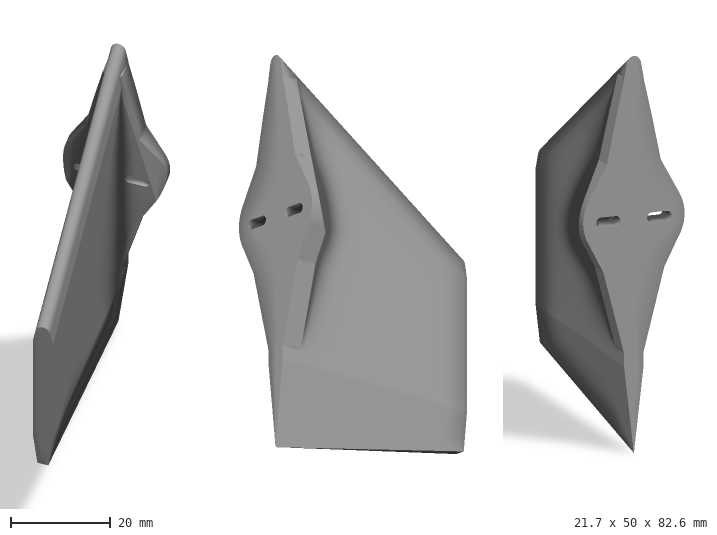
import cadquery as cq
import math


root_height = 82.6
span = 50.0
tip_top = 50.65
tip_bottom = 9.9
thickness = 4.2
half_thickness = thickness / 2
taper_start = 18.2
nose_radius = 1.6
nose_depth = 3.9

flange_width = 21.7
flange_thickness = 4.9
flange_bottom = (half_thickness, 21.0)
lower_knee = (6.5, 38.2)
lobe_bottom = (9.5, 44.05)
lobe_middle = (flange_width / 2, 48.75)
lobe_top = (9.75, 53.2)
upper_knee = (5.8, 60.5)
upper_bend = (3.8, 70.2)
flange_top = (2.1, 77.9)

bevel_top = (half_thickness, 73.55)

slot_length = 5.2
slot_width = 2.1
slot_offset = 5.45
slot_height = 48.7


def mirrored(point):
    return (-point[0], point[1])


def make_side_shape():
    """Swept-back fin outline at full thickness."""
    corners = [(0, 0), (0, root_height), (-span, tip_top), (-span, tip_bottom)]
    return (
        cq.Workplane("YZ").polyline(corners).close()
        .extrude(half_thickness, both=True)
    )


def make_trailing_taper():
    """Constant-thickness slab with a wedge running down to a sharp lower edge."""
    return (
        cq.Workplane("XZ")
        .moveTo(0, 0)
        .lineTo(half_thickness, taper_start)
        .lineTo(half_thickness, root_height)
        .lineTo(-half_thickness, root_height)
        .lineTo(-half_thickness, taper_start)
        .close()
        .extrude(span)
    )


def make_nose():
    """Rounded, tapered section swept parallel to the sloping leading edge."""
    drop = nose_depth - nose_radius
    reach = math.hypot(half_thickness, drop)
    tangent_angle = math.atan2(-drop, half_thickness) + math.acos(nose_radius / reach)
    tangent_x = nose_radius * math.cos(tangent_angle)
    tangent_y = nose_radius * (math.sin(tangent_angle) - 1)

    edge_drop = root_height - tip_top
    edge_length = math.hypot(span, edge_drop)
    section_plane = cq.Plane(
        origin=(0, 0, root_height), xDir=(1, 0, 0), normal=(0, -span, -edge_drop)
    )
    return (
        cq.Workplane(section_plane)
        .workplane(offset=-root_height)
        .moveTo(-tangent_x, tangent_y)
        .threePointArc((0, 0), (tangent_x, tangent_y))
        .lineTo(half_thickness, -nose_depth)
        .lineTo(half_thickness, -root_height)
        .lineTo(-half_thickness, -root_height)
        .lineTo(-half_thickness, -nose_depth)
        .close()
        .extrude(edge_length + 2 * root_height)
    )


def make_bevel_cutter():
    """Wedge removing the right upper flank at 45 degrees to the front face."""
    run = lobe_bottom[0] - bevel_top[0]
    rise = bevel_top[1] - lobe_bottom[1]
    slope = run / rise

    def section(height):
        edge_x = lobe_bottom[0] - slope * (height - lobe_bottom[1])
        return (
            cq.Workplane("XY", origin=(edge_x, -flange_thickness, height))
            .polyline([(0, 0), (span, 0), (span, span)]).close().val()
        )

    return cq.Workplane(cq.Solid.makeLoft([section(0), section(root_height)], True))


def make_flange():
    body = (
        cq.Workplane("XZ")
        .moveTo(*flange_bottom)
        .lineTo(*lower_knee)
        .lineTo(*lobe_bottom)
        .threePointArc(lobe_middle, lobe_top)
        .lineTo(*upper_knee)
        .lineTo(*upper_bend)
        .lineTo(*flange_top)
        .lineTo(*mirrored(flange_top))
        .lineTo(*mirrored(upper_bend))
        .lineTo(*mirrored(upper_knee))
        .lineTo(*mirrored(lobe_top))
        .threePointArc(mirrored(lobe_middle), mirrored(lobe_bottom))
        .lineTo(*mirrored(lower_knee))
        .lineTo(*mirrored(flange_bottom))
        .close()
        .extrude(flange_thickness)
    )
    bevel = make_bevel_cutter()
    slots = (
        cq.Workplane("XZ")
        .pushPoints([(-slot_offset, slot_height), (slot_offset, slot_height)])
        .slot2D(slot_length, slot_width)
        .extrude(flange_thickness)
    )
    return body.cut(bevel).cut(bevel.mirror("YZ")).cut(slots)


fin = make_side_shape().intersect(make_trailing_taper()).intersect(make_nose())
result = fin.union(make_flange())